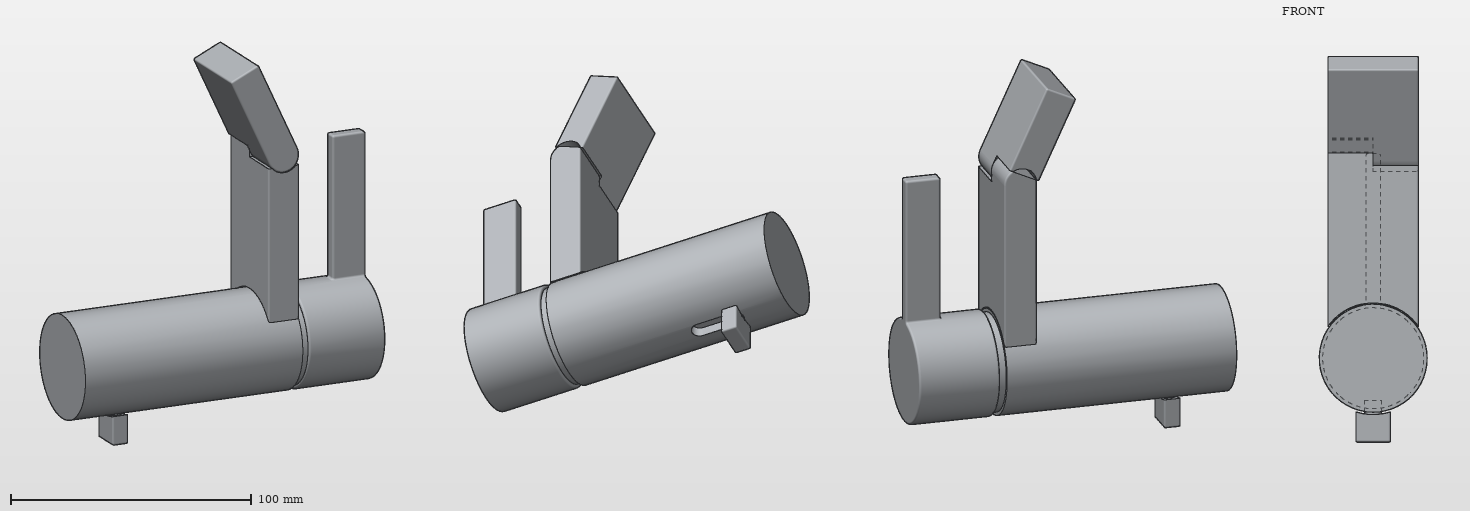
import cadquery as cq


barrel_radius = 22.5
housing_length = 100.0
neck_radius = 21.0
neck_length = 3.0
cap_length = 35.0
cap_round = 1.0

spout_width = 37.8
spout_thickness = 14.0
spout_round = 0.8
spout_gap = 0.5
spigot_radius = 4.8
hinge_height = 84.7
head_length = 42.3
head_tilt = 25.0
stop_offset = 4.0
shoulder_offset = 4.5

lever_width = 6.1
lever_depth = 15.1
lever_top = 85.1
lever_round = 1.0
lever_foot_round = 1.0

knob_width = 14.5
knob_depth = 7.0
knob_bottom = -35.0
knob_y = 23.3
knob_round = 0.8
knob_gap = 1.0
stem_radius = 3.5
slot_depth = 4.8
slot_rear = 43.4

cap_front = housing_length + neck_length
cap_rear = cap_front + cap_length
knuckle_radius = spout_thickness / 2
hinge_y = housing_length - knuckle_radius
half_width = spout_width / 2
cutter_size = 2 * (head_length + spout_thickness)
slot_front = knob_y - stem_radius
slot_floor = slot_depth - barrel_radius


def barrel_cylinder(radius, start, length):
    """Cylinder about the barrel axis, running rearward from Y = start."""
    return cq.Workplane("XZ", origin=(0, start, 0)).circle(radius).extrude(-length)


def hinge_cylinder(x_start):
    """Cylinder about the hinge axis, over half of the spout's width."""
    centre = (x_start, hinge_y, hinge_height)
    return cq.Workplane("YZ", origin=centre).circle(knuckle_radius).extrude(half_width)


def half_block(x_start, level, height):
    """Cutter over half of the spout's width, up or down from a level."""
    centre = (x_start + half_width / 2, hinge_y, level)
    return cq.Workplane("XY", origin=centre).rect(half_width, cutter_size).extrude(height)


def tilt(body):
    """Lean a body forward about the hinge axis."""
    axis_start = (0, hinge_y, hinge_height)
    axis_end = (1, hinge_y, hinge_height)
    return body.rotate(axis_start, axis_end, head_tilt)


def round_ended_slab(square_end, round_tip):
    """Spout-wide slab from a square end to a round tip about the hinge axis (Z levels)."""
    front = hinge_y - knuckle_radius
    rear = hinge_y + knuckle_radius
    return (
        cq.Workplane("YZ", origin=(-half_width, 0, 0))
        .moveTo(front, square_end)
        .lineTo(front, hinge_height)
        .threePointArc((hinge_y, round_tip), (rear, hinge_height))
        .lineTo(rear, square_end)
        .close()
        .extrude(spout_width)
    )


def make_plate():
    """Upright plate: a flat-topped knuckle on the -X half, a hollow shoulder on the +X half."""
    plate = round_ended_slab(0, hinge_height + knuckle_radius)
    plate = plate.faces("<X or >X").edges("not <Z").fillet(spout_round)
    plate = plate.cut(half_block(0, hinge_height - shoulder_offset, cutter_size))
    plate = plate.cut(hinge_cylinder(0))
    plate = plate.cut(tilt(half_block(-half_width, hinge_height + stop_offset, cutter_size)))
    return plate.cut(barrel_cylinder(barrel_radius + spout_gap, 0, cap_rear))


def make_head():
    """Tilted head: a knuckle on the +X half, a hollow flat on the -X half."""
    head = round_ended_slab(hinge_height + head_length, hinge_height - knuckle_radius)
    head = head.faces("<X or >X or >Z").edges().fillet(spout_round)
    head = head.cut(half_block(-half_width, hinge_height + stop_offset, -cutter_size))
    head = head.cut(hinge_cylinder(-half_width))
    return tilt(head)


def make_knob_slot():
    """Round-ended slot along the underside of the barrel."""
    width = 2 * stem_radius
    length = slot_rear - slot_front
    centre = (0, (slot_front + slot_rear) / 2, slot_floor)
    return cq.Workplane("XY", origin=centre).slot2D(length, width, 90).extrude(-barrel_radius)


def make_housing():
    """Barrel with its neck, the spout plate joined to it and the knob slot."""
    housing = barrel_cylinder(barrel_radius, 0, housing_length)
    housing = housing.union(barrel_cylinder(neck_radius, housing_length, neck_length))
    spigot = (
        cq.Workplane("XY", origin=(0, hinge_y, 0))
        .circle(spigot_radius)
        .extrude(barrel_radius + spigot_radius)
    )
    housing = housing.union(spigot).union(make_plate())
    return housing.cut(make_knob_slot())


def make_handle():
    """Cap with the lever standing on it, flush with its rear end."""
    cap = barrel_cylinder(barrel_radius, cap_front, cap_length)
    lever = (
        cq.Workplane("XY", origin=(0, cap_rear - lever_depth / 2, 0))
        .rect(lever_width, lever_depth)
        .extrude(lever_top)
        .edges("|Z and <Y")
        .fillet(lever_round)
    )
    handle = cap.union(lever)
    foot_zone = cq.selectors.BoxSelector(
        (-lever_width, cap_front + cap_round, barrel_radius - lever_foot_round),
        (lever_width, cap_rear - cap_round, barrel_radius + lever_foot_round),
    )
    handle = handle.edges(foot_zone).fillet(lever_foot_round)
    handle = handle.faces("<Y").edges().fillet(cap_round)
    return handle.faces(">Y or >Z").edges().fillet(cap_round)


def make_knob():
    """Knob with a foot hollowed around the barrel and a stem standing in the slot."""
    knob = (
        cq.Workplane("XY", origin=(0, knob_y, knob_bottom))
        .rect(knob_width, knob_depth)
        .extrude(-knob_bottom)
        .edges("|Z or <Z")
        .fillet(knob_round)
        .cut(barrel_cylinder(barrel_radius + knob_gap, 0, housing_length))
    )
    stem_length = (slot_floor - knob_bottom) / 2
    stem = (
        cq.Workplane("XY", origin=(0, knob_y, slot_floor))
        .circle(stem_radius)
        .extrude(-stem_length)
    )
    return knob.union(stem)


housing = make_housing()
handle = make_handle()
head = make_head()
knob = make_knob()

result = cq.Compound.makeCompound([housing.val(), handle.val(), head.val(), knob.val()])